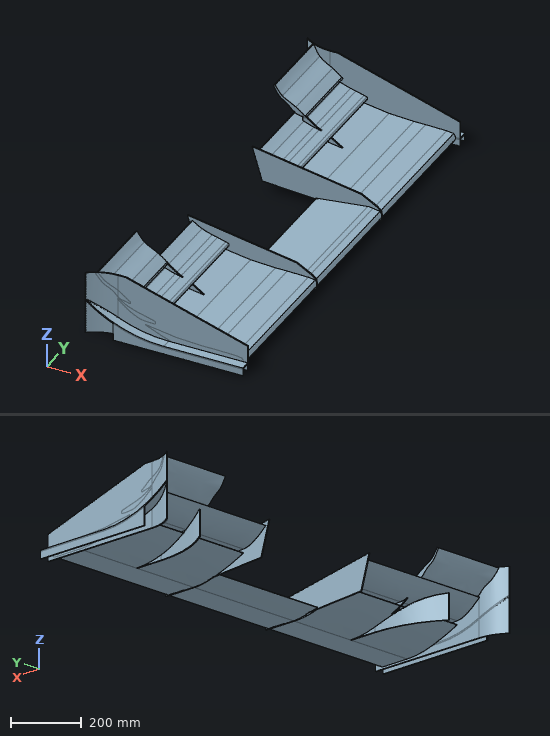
import cadquery as cq
import math


span = 1384.0
length = 500.0
height = 0.4 * length
sheet = 4.0
half_span = span / 2

endplate_y = 662.0
flare_length = 89.0
roof_length = 113.0
nose_height = 82.0

shelf_height = 26.0
shelf_flat_start = 249.0
shelf_rear_height = 113.0

fence_y = 199.0
top_flap_y = 429.0
wing_bottom = 6.2

main_upper = [(176.0, 61.0), (275.0, 45.0), (354.0, 42.0), (392.0, 42.0), (458.0, 40.0), (480.0, 37.0)]
main_lower = [(176.0, 60.0), (219.0, 42.0), (262.0, 26.0), (311.0, 12.0), (374.0, wing_bottom), (470.0, wing_bottom)]
middle_upper = [(91.0, 123.0), (122.0, 105.0), (154.0, 94.0), (170.0, 90.0), (197.0, 83.0), (205.0, 80.0)]
middle_lower = [(87.0, 120.0), (115.0, 98.0), (140.0, 83.0), (176.0, 72.0), (205.0, 70.0)]
top_upper = [(30.0, height), (54.0, 170.0), (97.0, 145.0), (126.0, 123.0)]
top_lower = [(25.0, 197.0), (45.0, 165.0), (73.0, 144.0), (102.0, 122.0), (123.0, 118.0)]
centre_upper = [(278.0, 24.0), (441.0, 43.0), (458.0, 42.0), (480.0, 37.0)]
centre_lower = [(278.0, 22.0), (374.0, wing_bottom), (470.0, wing_bottom)]
main_nose = (486.0, 24.0)
middle_nose = (208.0, 75.0)
top_nose = (129.0, 119.0)

fence_outline = [(75.0, 137.0), (421.0, 78.0), (470.0, 50.0), (485.0, 37.0), (485.0, wing_bottom), (107.0, 30.0)]

bracket_outline = [(118.0, 125.0), (129.0, 120.0), (165.0, 94.0), (210.0, 72.0), (252.0, 44.0), (200.0, 44.0), (118.0, 100.0)]

strake_y = 429.0
strake_rear_x = 55.0
strake_rear_y = 500.0
strake_bend_start = 277.0
strake_front_x = 374.0
strake_taper_start = (262.0, 26.0)
strake_top = [(strake_rear_x, 87.0), (104.0, 80.0), (176.0, 58.0)]


def arc_radius(run, rise):
    """Radius of an arc that starts tangent to a line and leaves it by `rise` after `run`."""
    return (run**2 + rise**2) / (2 * rise)


def arc_offset(radius, run):
    """Distance of such an arc from its tangent line after `run`."""
    return radius - math.sqrt(radius**2 - run**2)


def extrude_y(outline, y_start, y_end):
    """Solid of a closed XZ outline between two Y stations."""
    return outline.extrude(y_start - y_end).translate((0, y_start, 0))


def smooth_side(sketch, points):
    """Continue a sketch through `points` with one curve per pair, smoothly joined."""
    last = len(points) - 1
    tangents = []
    for i in range(last + 1):
        before = points[max(i - 1, 0)]
        after = points[min(i + 1, last)]
        tangents.append((after[0] - before[0], after[1] - before[1]))
    for i in range(last):
        sketch = sketch.spline([points[i + 1]], tangents=[tangents[i], tangents[i + 1]], includeCurrent=True)
    return sketch


def wing(upper, lower, nose, y_start, y_end):
    """Wing section with a blunt rear edge and a round nose."""
    outline = smooth_side(cq.Workplane("XZ").moveTo(*upper[0]), upper)
    outline = outline.threePointArc(nose, lower[-1])
    outline = outline.lineTo(*lower[-2])
    belly_direction = (lower[-2][0] - lower[-1][0], lower[-2][1] - lower[-1][1])
    rear_direction = (lower[0][0] - lower[1][0], lower[0][1] - lower[1][1])
    outline = outline.spline(lower[-3::-1], tangents=[belly_direction, rear_direction], includeCurrent=True)
    outline = outline.close()
    return extrude_y(outline, y_start, y_end)


def plan_inside(y_flat):
    """Tall block inside an endplate face that lies at `y_flat` ahead of the flare."""
    tip_y = half_span - endplate_y + y_flat
    radius = arc_radius(flare_length, tip_y - y_flat)
    half_run = flare_length / 2
    return (
        cq.Workplane("XY")
        .lineTo(0, tip_y)
        .threePointArc((half_run, y_flat + arc_offset(radius, half_run)), (flare_length, y_flat))
        .lineTo(length, y_flat)
        .lineTo(length, 0)
        .close()
        .extrude(height)
    )


def shelf_region(top_offset):
    """Everything below the footplate curve, lowered by `top_offset`, out to the full span."""
    level = shelf_height - top_offset
    rise = shelf_rear_height - shelf_height
    half_run = shelf_flat_start / 2
    middle_z = level + arc_offset(arc_radius(shelf_flat_start, rise), half_run)
    outline = (
        cq.Workplane("XZ")
        .lineTo(0, level + rise)
        .threePointArc((half_run, middle_z), (shelf_flat_start, level))
        .lineTo(length, level)
        .lineTo(length, 0)
        .close()
    )
    return extrude_y(outline, 0, half_span)


def endplate():
    """Upright plate with a sloping top edge, flared outwards at the rear."""
    side = cq.Workplane("XZ").polyline(
        [(0, 0), (0, height), (roof_length, height), (length, nose_height), (length, 0)]
    )
    side = extrude_y(side.close(), 0, half_span)
    return plan_inside(endplate_y).cut(plan_inside(endplate_y - sheet)).intersect(side)


def footplate():
    """Shelf that sweeps up to the rear and reaches the inner face of the endplate."""
    shelf = shelf_region(0).cut(shelf_region(sheet))
    return shelf.cut(plan_inside(endplate_y - sheet), clean=False)


def skirt():
    """Upright strip below the outer edge of the footplate, ahead of the flare."""
    strip = cq.Workplane("XY").box(length - flare_length, sheet, height, centered=False)
    strip = strip.translate((flare_length, half_span - sheet, 0))
    return shelf_region(sheet / 2).intersect(strip)


def strake_plan(y_flat):
    """Tall block inside a strake face that lies at `y_flat` ahead of the bend."""
    run = strake_bend_start - strake_rear_x
    rise = strake_rear_y - strake_y
    half_run = run / 2
    middle_y = y_flat + arc_offset(arc_radius(run, rise), half_run)
    return (
        cq.Workplane("XY")
        .moveTo(strake_rear_x, 0)
        .lineTo(strake_rear_x, y_flat + rise)
        .threePointArc((strake_bend_start - half_run, middle_y), (strake_bend_start, y_flat))
        .lineTo(strake_front_x, y_flat)
        .lineTo(strake_front_x, 0)
        .close()
        .extrude(height)
    )


def strake():
    """Curved upright plate whose front end tapers away inside the main wing section."""
    side = (
        cq.Workplane("XZ")
        .moveTo(strake_rear_x, wing_bottom)
        .lineTo(*strake_top[0])
        .threePointArc(strake_top[1], strake_top[2])
        .lineTo(*strake_taper_start)
        .lineTo(strake_front_x, wing_bottom)
        .close()
    )
    return strake_plan(strake_y + sheet).cut(strake_plan(strake_y)).intersect(extrude_y(side, 0, half_span))


def plate(outline, y_start):
    """Thin upright plate with straight edges."""
    return extrude_y(cq.Workplane("XZ").polyline(outline).close(), y_start, y_start + sheet)


def half_wing():
    """All parts on the +Y side; the wings end flush with the outer face of the endplate."""
    fence_outer_y = fence_y + sheet
    wings = [
        wing(main_upper, main_lower, main_nose, fence_outer_y, half_span),
        wing(middle_upper, middle_lower, middle_nose, fence_outer_y, half_span),
        wing(top_upper, top_lower, top_nose, top_flap_y, half_span),
    ]
    body = endplate()
    for section in wings:
        body = body.union(section.intersect(plan_inside(endplate_y), clean=False), clean=False)
    fence = plate(fence_outline, fence_y)
    bracket = plate(bracket_outline, top_flap_y)
    for part in (footplate(), skirt(), strake(), fence, bracket):
        body = body.union(part, clean=False)
    return body


left_side = half_wing()
right_side = left_side.mirror("XZ")
centre_section = wing(centre_upper, centre_lower, main_nose, -fence_y, fence_y)
result = centre_section.union(left_side, clean=False).union(right_side, clean=False)